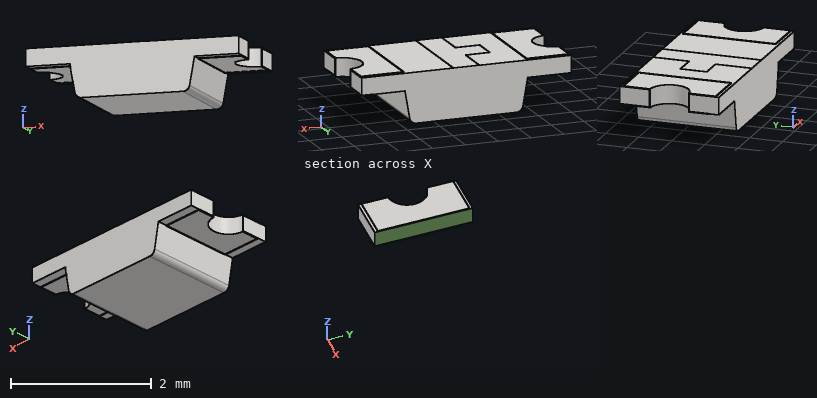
import cadquery as cq
import math

length = 3.2
width = 1.5
board_thickness = 0.262

foil = 0.01
pad_inner_x = 0.938
top_pad_width = 1.4
bottom_pad_width = 1.185
notch_radius = 0.3

lens_depth = 0.5
lens_draft = 10.0
lens_fillet = 0.1

print_thickness = 0.0015
bar_half_length = 0.2
tab_end_x = -0.565
tab_width = 0.4

half_length = length / 2
plated_thickness = board_thickness + 2 * foil


def make_board():
    """Flat board with a half-round notch in each end."""
    board = cq.Workplane("XY").box(length, width, board_thickness, centered=(True, True, False))
    notches = (
        cq.Workplane("XY")
        .pushPoints([(-half_length, 0), (half_length, 0)])
        .circle(notch_radius)
        .extrude(board_thickness)
    )
    return board.cut(notches)


def make_lens():
    """Full-width lens whose end walls taper in toward rounded bottom edges."""
    bottom_half_length = pad_inner_x - lens_depth * math.tan(math.radians(lens_draft))
    return (
        cq.Workplane("XZ")
        .moveTo(-pad_inner_x, 0)
        .lineTo(-bottom_half_length, -lens_depth)
        .lineTo(bottom_half_length, -lens_depth)
        .lineTo(pad_inner_x, 0)
        .close()
        .extrude(width / 2, both=True)
        .edges("<Z and |Y")
        .fillet(lens_fillet)
    )


def make_terminal(side):
    """Top pad, bottom pad and notch lining of one end; side is -1 or +1."""
    pad_length = half_length - foil - pad_inner_x
    pad_center_x = side * (pad_inner_x + pad_length / 2)

    def pad(pad_width, bottom_z):
        return (
            cq.Workplane("XY", origin=(pad_center_x, 0, bottom_z))
            .rect(pad_length, pad_width)
            .extrude(foil)
        )

    def end_cylinder(radius):
        return (
            cq.Workplane("XY", origin=(side * half_length, 0, -foil))
            .circle(radius)
            .extrude(plated_thickness)
        )

    plated_block = (
        cq.Workplane("XY", origin=(pad_center_x, 0, -foil))
        .rect(pad_length, bottom_pad_width)
        .extrude(plated_thickness)
    )
    lining = end_cylinder(notch_radius).intersect(plated_block)
    pads = pad(top_pad_width, board_thickness).union(pad(bottom_pad_width, -foil))
    return pads.union(lining).cut(end_cylinder(notch_radius - foil))


def make_polarity_mark():
    """Thin printed bar with a tab on its -X side."""
    top = cq.Workplane("XY", origin=(0, 0, board_thickness))
    tab_length = -bar_half_length - tab_end_x
    bar = top.rect(2 * bar_half_length, width).extrude(print_thickness)
    tab = (
        top.center(tab_end_x + tab_length / 2, 0)
        .rect(tab_length, tab_width)
        .extrude(print_thickness)
    )
    return bar.union(tab)


result = make_board().union(make_lens())
for side in (-1, 1):
    result = result.union(make_terminal(side))
result = result.union(make_polarity_mark())